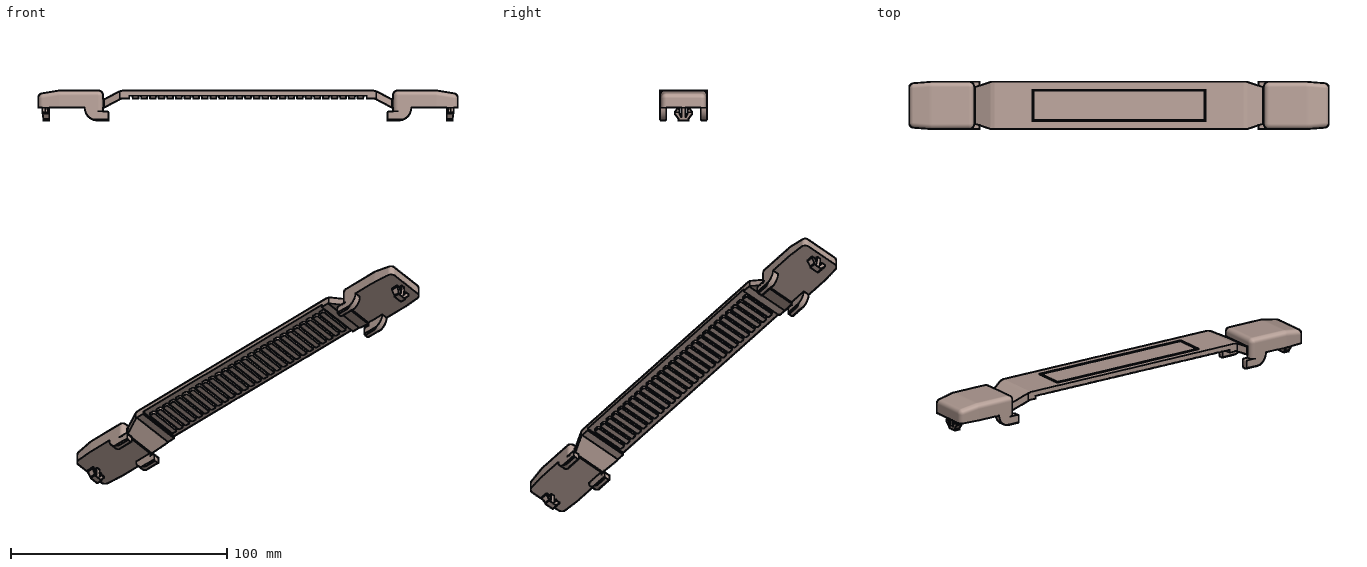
import cadquery as cq
import math

LENGTH = 194.0
WIDTH = 22.0
HEIGHT = 14.0
HALF_LENGTH = LENGTH / 2
HALF_WIDTH = WIDTH / 2

CAP_BOTTOM = 6.0
CAP_INNER_X = -67.0
CAP_BEND_X = -87.1
NOSE_NARROWING = 0.8
NOSE_SLOPE = 9.5
CAP_BEND_CHAMFER = 0.4
CAP_FILLET = 2.3
BEND_ZONE_MARGIN = 0.5

LEG_WIDTH = 3.1
LEG_ARC_RADIUS = CAP_BOTTOM
LEG_OUTER_X = -75.5
TOE_END_X = -64.5
TOE_TOP = 4.3
TOE_TIP_FILLET = 0.8
LEG_CHAMFER = 0.5

CLIP_OUTER_X = -95.0
CLIP_INNER_X = -91.8
CLIP_DRAFT = 0.5
CLIP_DRAFT_TOP = 4.3
STEM_HALF_WIDTH = 1.0
FOOT_HALF_WIDTH = 2.3
FOOT_HEIGHT = 0.8
SLOT_FLOOR = 1.5
BARB_HALF_WIDTH = 4.0
BARB_BOTTOM = 3.1
BARB_TOP = 3.9
ARM_INNER_Y = 2.0
ARM_INNER_BOTTOM = 3.3
ARM_INNER_TOP = 5.2
ARM_TIP_Y = 2.7
ARM_TIP_Z = 5.8
ARM_NECK_OUTER_X = -93.7
ARM_NECK_INNER_X = -92.5

BAR_THICKNESS = 3.9
BAR_BEND_X = 58.5
BAR_BEND_CHAMFER = 1.0
BAR_SLOPE_RUN = 7.8
BAR_DROP = HEIGHT - BAR_THICKNESS - CAP_BOTTOM
BAR_NECK_START_X = 59.2
BAR_NECK_END_X = BAR_BEND_X + BAR_SLOPE_RUN
BAR_NECK_HALF_WIDTH = 8.5
BAR_END_X = -CAP_INNER_X

RIB_COUNT = 27
RIB_BAND_LENGTH = 109.6
RIB_GAP = 1.0
RIB_END_GAP = 1.4
RIB_PITCH = (RIB_BAND_LENGTH - 2 * RIB_END_GAP + RIB_GAP) / RIB_COUNT
RIB_LENGTH = 16.3
RIB_DEPTH = 1.4
RIB_TAPER = 8
RIB_CORNER_RADIUS = 0.8

GROOVE_LENGTH = 80.1
GROOVE_BREADTH = 14.5
GROOVE_WIDTH = 0.5
GROOVE_DEPTH = 0.4


def box_between(x_range, y_range, z_range):
    """Axis-aligned box given by its low and high limits along X, Y and Z."""
    limits = (x_range, y_range, z_range)
    sizes = [high - low for low, high in limits]
    lows = [low for low, _ in limits]
    return cq.Workplane("XY").box(*sizes, centered=False).translate(tuple(lows))


def extrude_across(outline, width):
    """Extrude an XZ outline symmetrically along Y."""
    return outline.extrude(width / 2, both=True)


def cap_block():
    """Rounded block with a sloped nose, reaching down to the top of the toes."""
    nose_half_width = HALF_WIDTH - NOSE_NARROWING
    plan = (
        cq.Workplane("XY").workplane(offset=TOE_TOP)
        .moveTo(CAP_INNER_X, -HALF_WIDTH)
        .lineTo(CAP_INNER_X, HALF_WIDTH)
        .lineTo(CAP_BEND_X, HALF_WIDTH)
        .lineTo(-HALF_LENGTH, nose_half_width)
        .lineTo(-HALF_LENGTH, -nose_half_width)
        .lineTo(CAP_BEND_X, -HALF_WIDTH)
        .close()
    )
    block = plan.extrude(HEIGHT - TOE_TOP)
    nose_drop = (CAP_BEND_X + HALF_LENGTH) * math.tan(math.radians(NOSE_SLOPE))
    nose_wedge = (
        cq.Workplane("XZ")
        .moveTo(CAP_BEND_X, HEIGHT)
        .lineTo(-HALF_LENGTH, HEIGHT)
        .lineTo(-HALF_LENGTH, HEIGHT - nose_drop)
        .close()
    )
    block = block.cut(extrude_across(nose_wedge, WIDTH))
    block = block.faces(">Z").edges("<X").chamfer(CAP_BEND_CHAMFER)
    bend_zone = cq.selectors.BoxSelector(
        (CAP_BEND_X - BEND_ZONE_MARGIN, -WIDTH, 0),
        (CAP_BEND_X + BEND_ZONE_MARGIN, WIDTH, 2 * HEIGHT),
    )
    return block.edges("not(<Z)").edges(-bend_zone).fillet(CAP_FILLET)


def cap_leg(low_y):
    """Hooked leg: quarter-round heel outside, square toe pointing at the bar."""
    centre_x = LEG_OUTER_X + LEG_ARC_RADIUS
    arc_offset = LEG_ARC_RADIUS * math.sqrt(0.5)
    outline = (
        cq.Workplane("XZ")
        .moveTo(LEG_OUTER_X, CAP_BOTTOM)
        .threePointArc((centre_x - arc_offset, CAP_BOTTOM - arc_offset), (centre_x, 0))
        .lineTo(TOE_END_X, 0)
        .lineTo(TOE_END_X, TOE_TOP)
        .lineTo(CAP_INNER_X, TOE_TOP)
        .lineTo(CAP_INNER_X, CAP_BOTTOM)
        .close()
    )
    blank = box_between((LEG_OUTER_X, TOE_END_X), (low_y, low_y + LEG_WIDTH), (0, CAP_BOTTOM))
    blank = blank.faces("<Z").edges("|X").chamfer(LEG_CHAMFER)
    leg = blank.intersect(extrude_across(outline, WIDTH))
    return leg.faces(">X").edges(">Z").fillet(TOE_TIP_FILLET)


def snap_clip():
    """Central stem whose foot carries two upturned barbed arms."""
    stem_side = [
        (STEM_HALF_WIDTH, SLOT_FLOOR),
        (STEM_HALF_WIDTH, CAP_BOTTOM),
    ]
    arm_side = [
        (FOOT_HALF_WIDTH, 0),
        (FOOT_HALF_WIDTH, FOOT_HEIGHT),
        (BARB_HALF_WIDTH, BARB_BOTTOM),
        (BARB_HALF_WIDTH, BARB_TOP),
        (ARM_TIP_Y, ARM_TIP_Z),
        (ARM_INNER_Y, ARM_INNER_TOP),
        (ARM_INNER_Y, ARM_INNER_BOTTOM),
    ]
    half_outline = arm_side + stem_side
    mirrored_half = [(-y, z) for y, z in reversed(half_outline)]
    clip = (
        cq.Workplane("YZ").workplane(offset=CLIP_OUTER_X)
        .polyline(half_outline + mirrored_half)
        .close()
        .extrude(CLIP_INNER_X - CLIP_OUTER_X)
    )

    drafted_wedge = (
        cq.Workplane("XZ")
        .moveTo(CLIP_OUTER_X, CLIP_DRAFT_TOP)
        .lineTo(CLIP_OUTER_X + CLIP_DRAFT, 0)
        .lineTo(CLIP_OUTER_X, 0)
        .close()
    )
    clip = clip.cut(extrude_across(drafted_wedge, WIDTH))

    for y_range in ((-BARB_HALF_WIDTH, -STEM_HALF_WIDTH), (STEM_HALF_WIDTH, BARB_HALF_WIDTH)):
        for x_range in ((CLIP_OUTER_X, ARM_NECK_OUTER_X), (ARM_NECK_INNER_X, CLIP_INNER_X)):
            clip = clip.cut(box_between(x_range, y_range, (BARB_TOP, CAP_BOTTOM)))
    return clip


def left_cap():
    """Left end cap: rounded block, two hooked legs and a snap clip as one solid."""
    block = cap_block()
    underside = box_between(
        (-HALF_LENGTH, CAP_INNER_X), (-HALF_WIDTH, HALF_WIDTH), (TOE_TOP, CAP_BOTTOM)
    )
    cap = block.cut(underside)
    corner_waste = box_between(
        (CAP_INNER_X - CAP_FILLET, TOE_END_X), (-HALF_WIDTH, HALF_WIDTH), (TOE_TOP, CAP_BOTTOM)
    ).cut(block)
    for low_y in (-HALF_WIDTH, HALF_WIDTH - LEG_WIDTH):
        cap = cap.union(cap_leg(low_y).cut(corner_waste))
    return cap.union(snap_clip())


def bar_strip():
    """Flat strip whose ends bend down, narrow and butt against the caps."""
    top_right = [
        (BAR_BEND_X, HEIGHT),
        (BAR_BEND_X + BAR_SLOPE_RUN, HEIGHT - BAR_DROP),
        (BAR_END_X, HEIGHT - BAR_DROP),
    ]
    bottom_right = [(x, z - BAR_THICKNESS) for x, z in reversed(top_right)]
    right_half = top_right + bottom_right
    left_half = [(-x, z) for x, z in reversed(right_half)]
    strip = extrude_across(cq.Workplane("XZ").polyline(right_half + left_half).close(), WIDTH)
    strip = strip.faces(">Z").edges("|Y").chamfer(BAR_BEND_CHAMFER)

    plan_quarter = [
        (BAR_NECK_START_X, HALF_WIDTH),
        (BAR_NECK_END_X, BAR_NECK_HALF_WIDTH),
        (BAR_END_X, BAR_NECK_HALF_WIDTH),
    ]
    plan_right = plan_quarter + [(x, -y) for x, y in reversed(plan_quarter)]
    plan_left = [(-x, -y) for x, y in plan_right]
    plan = cq.Workplane("XY").polyline(plan_right + plan_left).close().extrude(HEIGHT)
    return strip.intersect(plan)


def rib_band_cut():
    """Material removed below the bar: a band across its underside, less the tapered ribs."""
    root_z = HEIGHT - BAR_THICKNESS + RIB_DEPTH
    half_band = RIB_BAND_LENGTH / 2
    band = box_between((-half_band, half_band), (-HALF_WIDTH, HALF_WIDTH), (root_z - RIB_DEPTH, root_z))
    rib = (
        cq.Workplane("XY").workplane(offset=root_z)
        .sketch().rect(RIB_PITCH - RIB_GAP, RIB_LENGTH).vertices().fillet(RIB_CORNER_RADIUS).finalize()
        .extrude(-RIB_DEPTH, taper=RIB_TAPER)
    )
    for index in range(RIB_COUNT):
        centre_x = (index - (RIB_COUNT - 1) / 2) * RIB_PITCH
        band = band.cut(rib.translate((centre_x, 0, 0)))
    return band


def top_groove():
    """Narrow rectangular ring sunk into the top of the bar."""
    floor = cq.Workplane("XY").workplane(offset=HEIGHT - GROOVE_DEPTH)
    outer = floor.rect(GROOVE_LENGTH, GROOVE_BREADTH).extrude(GROOVE_DEPTH)
    inner_length = GROOVE_LENGTH - 2 * GROOVE_WIDTH
    inner_breadth = GROOVE_BREADTH - 2 * GROOVE_WIDTH
    island = floor.rect(inner_length, inner_breadth).extrude(GROOVE_DEPTH)
    return outer.cut(island)


def connecting_bar():
    """Bent strip with the ribbed underside and the grooved top."""
    return bar_strip().cut(rib_band_cut()).cut(top_groove())


bar = connecting_bar()
cap_at_left = left_cap()
cap_at_right = cap_at_left.mirror("YZ")

result = cq.Compound.makeCompound([bar.val(), cap_at_left.val(), cap_at_right.val()])